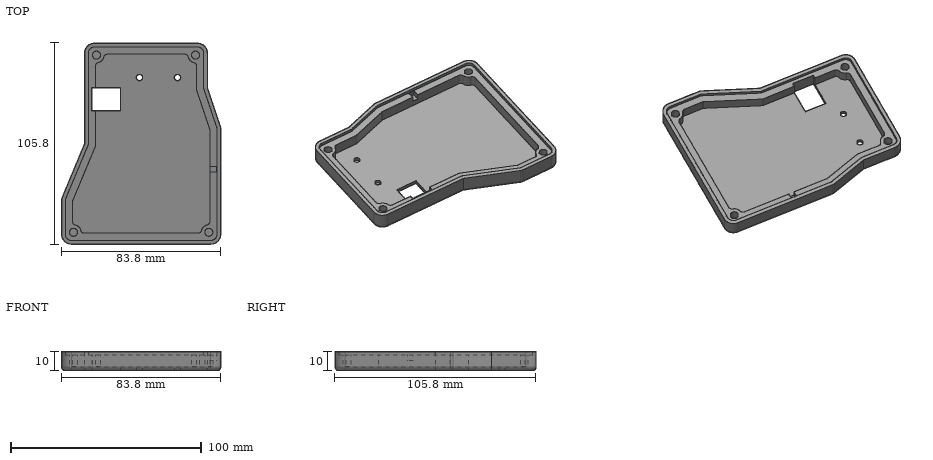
import cadquery as cq
import math

board_length = 98.0
board_width = 76.0
left_step = 12.1
right_step = 7.0
left_knee_upper_y = -0.8
left_knee_lower_y = -29.8
right_knee_upper_y = 28.7
right_knee_lower_y = 7.8
board_corner_radius = 1.4

recess_clearance = 1.9
rim_thickness = 2.0
cavity_inset = 1.9
outer_offset = recess_clearance + rim_thickness

height = 10.0
ledge_z = 8.3
floor_z = 2.0
bottom_fillet = 2.0

boss_radius = 4.0
boss_blend_radius = 1.8
boss_inset = 2.4
screw_diameter = 4.2
screw_depth = 6.0

floor_hole_diameter = 3.2
floor_hole_count = 2
floor_hole_spacing = 20.0
floor_hole_first_x = -0.9
floor_hole_y = 34.8

window_width = 15.0
window_length = 12.0
window_center_y = 23.4

notch_width = 3.0
notch_center_y = -13.4
notch_floor_z = 5.3
notch_end_gap = 0.2

right_x = board_width / 2
notch_end_x = right_x + recess_clearance - notch_end_gap
left_x = -right_x
top_y = board_length / 2
bottom_y = -top_y
upper_left_x = left_x + left_step
upper_right_x = right_x - right_step

bottom_left = (left_x, bottom_y)
bottom_right = (right_x, bottom_y)
top_right = (upper_right_x, top_y)
top_left = (upper_left_x, top_y)
square_corners = [bottom_left, bottom_right, top_right, top_left]

board_points = [
    bottom_left,
    bottom_right,
    (right_x, right_knee_lower_y),
    (upper_right_x, right_knee_upper_y),
    top_right,
    top_left,
    (upper_left_x, left_knee_upper_y),
    (left_x, left_knee_lower_y),
]

boss_centers = [
    (left_x + boss_inset, bottom_y + boss_inset),
    (right_x - boss_inset, bottom_y + boss_inset),
    (upper_right_x - boss_inset, top_y - boss_inset),
    (upper_left_x + boss_inset, top_y - boss_inset),
]


def make_board_outline():
    """Closed board wire with its four right-angled corners rounded."""
    sharp = cq.Wire.makePolygon([cq.Vector(x, y, 0) for x, y in board_points], close=True)
    corners = []
    for vertex in sharp.Vertices():
        if any(math.dist((vertex.X, vertex.Y), corner) < board_corner_radius for corner in square_corners):
            corners.append(vertex)
    return sharp.fillet2D(board_corner_radius, corners)


def offset_prism(offset, z_bottom, z_top):
    """Board outline grown by offset (negative shrinks it), filled between two heights."""
    outline = cq.Workplane("XY").add(make_board_outline()).toPending()
    prism = outline.offset2D(offset, "arc").extrude(z_top - z_bottom)
    return prism.translate((0, 0, z_bottom))


def make_shell():
    """Solid outer block with a rounded underside edge."""
    return offset_prism(outer_offset, 0, height).faces("<Z").edges().fillet(bottom_fillet)


def make_recess():
    """Shallow recess inside the rim that leaves the ledge below it."""
    return offset_prism(recess_clearance, ledge_z, height)


def make_cavity():
    """Main pocket, with the corner bosses left standing and blended into its walls."""
    depth = ledge_z - floor_z
    bosses = cq.Workplane("XY").workplane(offset=floor_z).pushPoints(boss_centers)
    cavity = offset_prism(-cavity_inset, floor_z, ledge_z).cut(bosses.circle(boss_radius).extrude(depth))
    reach = boss_radius + boss_blend_radius
    for x, y in boss_centers:
        around_boss = cq.selectors.BoxSelector((x - reach, y - reach, 0), (x + reach, y + reach, height))
        cavity = cavity.edges("|Z").edges(around_boss).fillet(boss_blend_radius)
    return cavity


def make_screw_holes():
    """Blind holes down from the ledge into the corner bosses."""
    holes = cq.Workplane("XY").workplane(offset=ledge_z).pushPoints(boss_centers)
    return holes.circle(screw_diameter / 2).extrude(-screw_depth)


def make_floor_holes():
    """Pair of through holes in the floor."""
    centers = []
    for index in range(floor_hole_count):
        centers.append((floor_hole_first_x + index * floor_hole_spacing, floor_hole_y))
    return cq.Workplane("XY").pushPoints(centers).circle(floor_hole_diameter / 2).extrude(ledge_z)


def make_window():
    """Rectangular opening that starts under the board edge and runs through the floor."""
    window = cq.Workplane("XY").box(window_width, window_length, ledge_z, centered=(False, True, False))
    return window.translate((upper_left_x, window_center_y, 0))


def make_notch():
    """Slot across the right ledge, from the cavity to just short of the rim."""
    notch_start_x = right_x - cavity_inset
    notch = cq.Workplane("XY").box(
        notch_end_x - notch_start_x, notch_width, ledge_z - notch_floor_z, centered=(False, True, False)
    )
    return notch.translate((notch_start_x, notch_center_y, notch_floor_z))


result = make_shell()
for cutter in (
    make_recess(),
    make_cavity(),
    make_screw_holes(),
    make_floor_holes(),
    make_window(),
    make_notch(),
):
    result = result.cut(cutter)